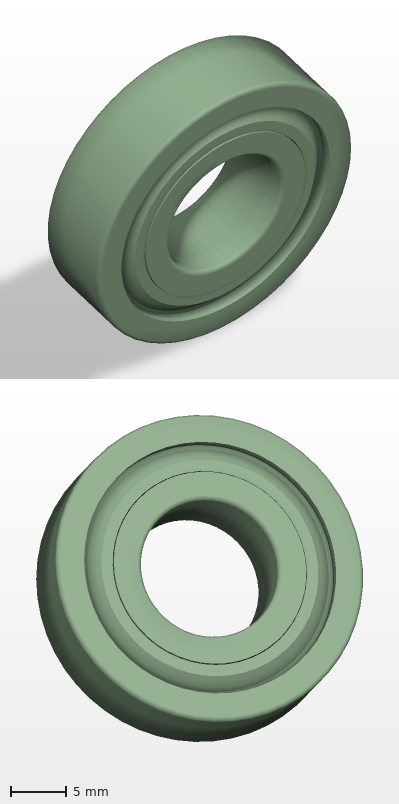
import cadquery as cq

OUTER_DIAMETER = 28.57
WIDTH = 7.95
BORE_DIAMETER = 12.69
EDGE_FILLET = 0.4

OUTER_RING_BORE_DIAMETER = 23.4
INNER_RING_OUTER_DIAMETER = 17.85
SHIELD_GAP = 0.09

RIM_WIDTH = 0.43
RIM_DEPTH = 1.1
SLOPE_WIDTH = 1.2
FACE_DEPTH = 0.1

HALF_WIDTH = WIDTH / 2
OUTER_RING_BORE_RADIUS = OUTER_RING_BORE_DIAMETER / 2
INNER_RING_OUTER_RADIUS = INNER_RING_OUTER_DIAMETER / 2


def ring(outer_diameter, inner_diameter):
    """Plain ring of full bearing width, centred on the origin, axis along X."""
    return (
        cq.Workplane("YZ", origin=(-HALF_WIDTH, 0, 0))
        .circle(outer_diameter / 2)
        .circle(inner_diameter / 2)
        .extrude(WIDTH)
    )


def make_outer_ring():
    """Outer ring with both outside edges rounded."""
    largest_circles = cq.selectors.RadiusNthSelector(-1)
    return ring(OUTER_DIAMETER, OUTER_RING_BORE_DIAMETER).edges(largest_circles).fillet(EDGE_FILLET)


def make_inner_ring():
    """Inner ring with both bore edges rounded."""
    smallest_circles = cq.selectors.RadiusNthSelector(0)
    return ring(INNER_RING_OUTER_DIAMETER, BORE_DIAMETER).edges(smallest_circles).fillet(EDGE_FILLET)


def make_shield():
    """Shield between the rings: on both sides a low rim, a conical step and a raised face."""
    rim_x = HALF_WIDTH - RIM_DEPTH
    face_x = HALF_WIDTH - FACE_DEPTH
    slope_outer_radius = OUTER_RING_BORE_RADIUS - RIM_WIDTH
    slope_inner_radius = slope_outer_radius - SLOPE_WIDTH
    inner_radius = INNER_RING_OUTER_RADIUS + SHIELD_GAP
    profile = [
        (-rim_x, OUTER_RING_BORE_RADIUS),
        (rim_x, OUTER_RING_BORE_RADIUS),
        (rim_x, slope_outer_radius),
        (face_x, slope_inner_radius),
        (face_x, inner_radius),
        (-face_x, inner_radius),
        (-face_x, slope_inner_radius),
        (-rim_x, slope_outer_radius),
    ]
    return cq.Workplane("XZ").polyline(profile).close().revolve(360, (0, 0, 0), (1, 0, 0))


outer_ring = make_outer_ring()
inner_ring = make_inner_ring()
shield = make_shield()

result = cq.Compound.makeCompound([outer_ring.val(), inner_ring.val(), shield.val()])